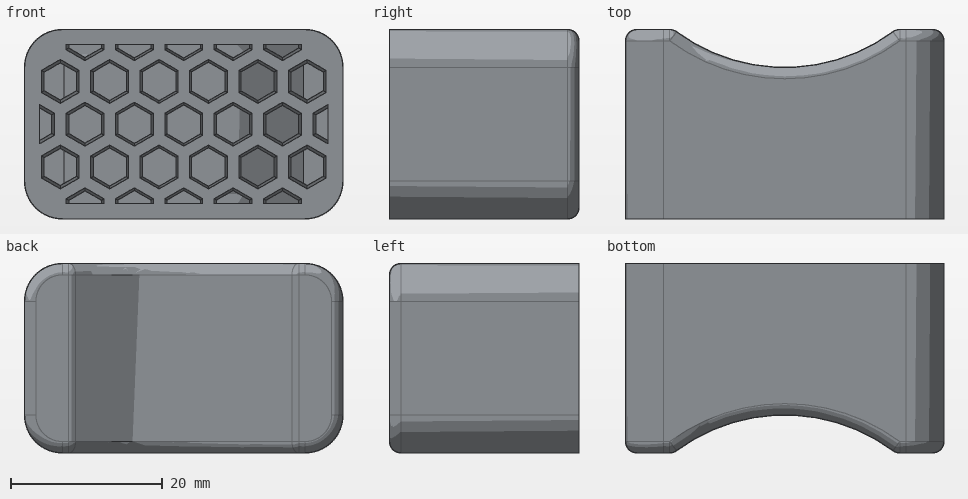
import cadquery as cq
import math

length = 42.0
depth = 25.0
height = 25.0
corner_radius = 5.0
back_fillet = 1.5

scoop_radius = 24.0
scoop_depth = 5.0

wall = 2.0
floor_thickness = 3.5
cell_across_flats = 5.0
cell_gap = 1.5
cell_draft_angle = 1.0

front_y = -depth / 2
back_y = depth / 2
scoop_center_y = back_y - scoop_depth + scoop_radius

column_pitch = cell_across_flats + cell_gap
row_pitch = column_pitch * math.sqrt(3) / 2
cell_across_corners = cell_across_flats * 2 / math.sqrt(3)

cells_per_row = {-2: 5, -1: 6, 0: 7, 1: 6, 2: 5}


def front_plane():
    """Sketch plane on the front face; its normal points out of the part, toward -Y."""
    return cq.Workplane("XZ", origin=(0, front_y, 0))


def scoop(radius):
    """Cylinder along Z about the scoop axis, taller than the body."""
    return cq.Workplane("XY").center(0, scoop_center_y).circle(radius).extrude(height, both=True)


def body():
    """Rounded block with the scoop cut and every edge around the back and scoop filleted."""
    block = front_plane().rect(length, height).extrude(-depth)
    block = block.edges("|Y").fillet(corner_radius)
    block = block.cut(scoop(scoop_radius))
    return block.edges("not (|Y or <Y)").fillet(back_fillet)


def cell_envelope():
    """Space the cells may fill: inside the side walls and in front of the floor."""
    envelope = (
        front_plane()
        .rect(length - 2 * wall, height - 2 * wall)
        .extrude(-(depth - floor_thickness))
    )
    return envelope.cut(scoop(scoop_radius + floor_thickness))


def cells():
    """Tapered hexagonal prisms, pointed along Z, in staggered rows."""
    centers = [
        ((column - (count - 1) / 2) * column_pitch, row * row_pitch)
        for row, count in cells_per_row.items()
        for column in range(count)
    ]
    hexagon = cq.Sketch().regularPolygon(cell_across_corners / 2, 6)
    return front_plane().pushPoints(centers).placeSketch(hexagon).extrude(-depth, taper=cell_draft_angle)


result = body().cut(cells().intersect(cell_envelope()))